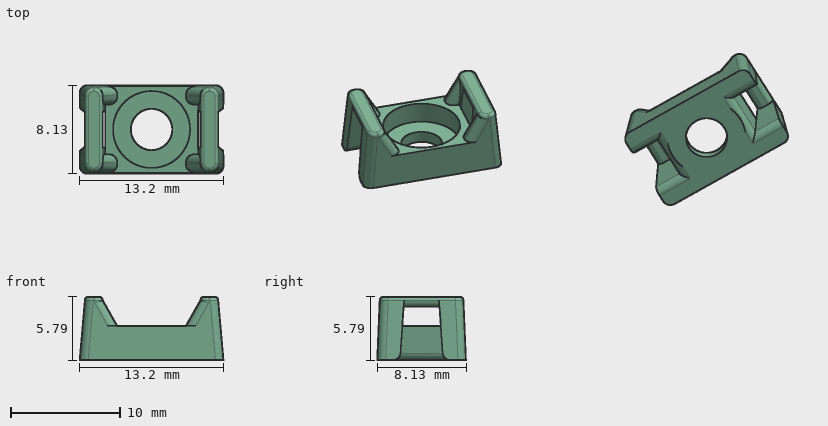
import cadquery as cq
import math

length = 13.16
width = 8.13
height = 5.79

end_draft = math.tan(math.radians(5.0))
side_draft = math.tan(math.radians(2.4))

deck_height = 3.13
corner_radius = 0.762

top_round = 0.33
shoulder_height = height - top_round
bar_inner_x = 4.455
bar_underside = 4.86
bar_round = 0.54

buttress_lean = math.tan(math.radians(29.5))
buttress_inner_y = 2.24
buttress_round = 0.762

slot_bottom_half_width = 1.97
slot_draft = 0.07
slot_mouth_round = 0.70

hole_diameter = 3.76
head_diameter = 7.04
head_floor = 1.13
seat_diameter = 7.16

half_length = length / 2
half_width = width / 2
outside = 1.2 * half_length
frame_mid_x = bar_inner_x + corner_radius
edge_margin = 0.05


def frame_inner_x(z):
    """Inner face of the right-hand frame at a given height."""
    return bar_inner_x + (z - shoulder_height) * end_draft


def xz_prism(points):
    """Extrude an XZ outline across the full width of the part."""
    return cq.Workplane("XZ").polyline(points).close().extrude(half_width, both=True)


def side_drafted(solid):
    """Trim a solid to the leaning front and back faces."""
    top_half_width = half_width - height * side_draft
    outline = [
        (-half_width, 0),
        (half_width, 0),
        (top_half_width, height),
        (-top_half_width, height),
    ]
    envelope = cq.Workplane("YZ").polyline(outline).close().extrude(outside, both=True)
    return solid.intersect(envelope)


def make_half_base():
    """Right half of the base, ending inside the frame."""
    return side_drafted(xz_prism([
        (0, 0),
        (frame_mid_x, 0),
        (frame_mid_x, deck_height),
        (0, deck_height),
    ]))


def make_frame():
    """Right-hand end frame, drafted, with round corners and a round top edge."""
    frame = side_drafted(xz_prism([
        (frame_inner_x(0), 0),
        (half_length, 0),
        (half_length - height * end_draft, height),
        (frame_inner_x(height), height),
    ]))
    corners = frame.edges("not(#Z)")
    return corners.fillet(corner_radius).faces(">Z").edges().fillet(top_round)


def make_buttress():
    """Leaning column at the right-hand back corner, rounded toward the middle."""
    foot_x = bar_inner_x - (shoulder_height - deck_height) * buttress_lean
    column = xz_prism([
        (foot_x, deck_height),
        (frame_mid_x, deck_height),
        (frame_mid_x, shoulder_height),
        (bar_inner_x, shoulder_height),
    ])
    corner_zone = cq.Workplane("XY").box(
        outside, half_width - buttress_inner_y, height, centered=False
    ).translate((0, buttress_inner_y, 0))
    column = side_drafted(column.intersect(corner_zone))
    return column.faces("<X").edges("not(|Y)").fillet(buttress_round)


def make_slot():
    """Strap slot in the right-hand frame, narrowing upward.

    Its end wall in the base continues the drafted inner face of the frame.
    """
    top_half_width = slot_bottom_half_width - bar_underside * slot_draft
    cross_section = [
        (-slot_bottom_half_width, 0),
        (slot_bottom_half_width, 0),
        (top_half_width, bar_underside),
        (-top_half_width, bar_underside),
    ]
    tunnel = cq.Workplane("YZ").polyline(cross_section).close().extrude(outside)
    beyond_end_wall = xz_prism([
        (frame_inner_x(0), 0),
        (outside, 0),
        (outside, bar_underside),
        (frame_inner_x(bar_underside), bar_underside),
    ])
    return tunnel.intersect(beyond_end_wall)


def slot_edges_at(z):
    """Selector for the edges around the slot at a given height."""
    reach = slot_bottom_half_width + edge_margin
    return cq.selectors.BoxSelector(
        (frame_inner_x(0) - edge_margin, -reach, z - edge_margin),
        (half_length - edge_margin, reach, z + edge_margin),
    )


def make_half():
    """Right half of the part without the screw hole."""
    buttress = make_buttress()
    half = make_half_base().union(make_frame()).union(buttress).union(buttress.mirror("XZ"))
    half = half.cut(make_slot())
    half = half.edges("|Y").edges(slot_edges_at(bar_underside)).fillet(bar_round)
    return half.edges(slot_edges_at(0)).fillet(slot_mouth_round)


def make_seat():
    """Round seat beneath the screw head, full thickness down to the underside."""
    return cq.Workplane("XY").circle(seat_diameter / 2).extrude(head_floor)


def cut_screw_hole(body):
    """Through hole with a wide recess for the screw head."""
    hole = cq.Workplane("XY").circle(hole_diameter / 2).extrude(height)
    recess = (
        cq.Workplane("XY", origin=(0, 0, head_floor))
        .circle(head_diameter / 2).extrude(height)
    )
    return body.cut(hole).cut(recess)


right_half = make_half()
body = right_half.union(right_half.mirror("YZ")).union(make_seat())
result = cut_screw_hole(body)